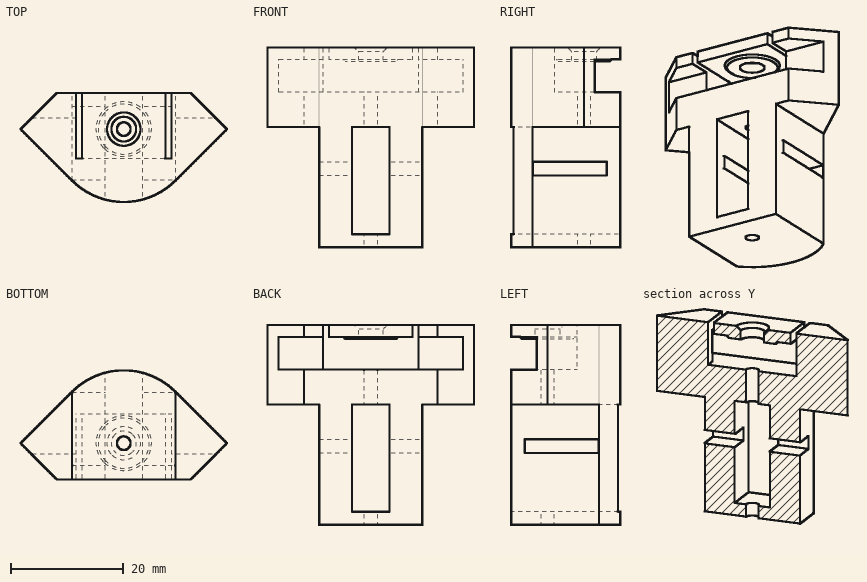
import cadquery as cq
import math

height = 35.6
half_span = 18.35
back_y = 6.45
front_radius = half_span / math.sqrt(2)
half_body = front_radius / math.sqrt(2)

wing_bottom = 21.4
window_width = 6.65
window_bottom = 2.4

side_slot_bottom = 12.82
side_slot_height = 2.42
side_slot_back = 4.0
side_slot_front = -9.05

notch_floor = 27.62
notch_ceiling = 33.45
notch_depth = 4.5

tongue_length = 11.68
slit_width = 1.05
slit_outer = 8.45

boss_diameter = 9.8
boss_drop = 0.4
access_hole_diameter = 4.4
countersink_diameter = 5.95
screw_hole_diameter = 2.4


def box(x_min, x_max, y_min, y_max, z_min, z_max):
    """Box given by its limits along each axis."""
    size = (x_max - x_min, y_max - y_min, z_max - z_min)
    return cq.Workplane("XY").box(*size, centered=False).translate((x_min, y_min, z_min))


def cylinder(radius, z_min, z_max):
    """Cylinder on the Z axis."""
    return cq.Workplane("XY", origin=(0, 0, z_min)).circle(radius).extrude(z_max - z_min)


def cone(bottom_radius, top_radius, z_min, z_max):
    """Truncated cone on the Z axis."""
    return cq.Workplane(cq.Solid.makeCone(bottom_radius, top_radius, z_max - z_min, cq.Vector(0, 0, z_min)))


def make_body():
    """Round-fronted column with a pointed wing on each side at the top."""
    column = (
        cq.Workplane("XY")
        .moveTo(-half_body, back_y)
        .lineTo(-half_body, -half_body)
        .threePointArc((0, -front_radius), (half_body, -half_body))
        .lineTo(half_body, back_y)
        .close()
        .extrude(height)
    )
    half_back = half_span - back_y
    head = (
        cq.Workplane("XY", origin=(0, 0, wing_bottom))
        .moveTo(-half_back, back_y)
        .lineTo(-half_span, 0)
        .lineTo(-half_body, -half_body)
        .threePointArc((0, -front_radius), (half_body, -half_body))
        .lineTo(half_span, 0)
        .lineTo(half_back, back_y)
        .close()
        .extrude(height - wing_bottom)
    )
    return column.union(head)


def cut_window_and_side_slot(body):
    """Tall window through the column along Y, narrow slot along X."""
    window = box(
        -window_width / 2, window_width / 2, -front_radius, back_y, window_bottom, wing_bottom
    )
    side_slot = box(
        -half_body, half_body, side_slot_front, side_slot_back,
        side_slot_bottom, side_slot_bottom + side_slot_height,
    )
    return body.cut(window).cut(side_slot)


def cut_tongue(body):
    """Notch along the back, pocket behind it and two slits that free a tongue in the top."""
    pocket_front = back_y - tongue_length
    notch = box(-half_span, half_span, back_y - notch_depth, back_y, notch_floor, notch_ceiling)
    pocket = box(-slit_outer, slit_outer, pocket_front, back_y, notch_floor, notch_ceiling)
    body = body.cut(notch).cut(pocket)
    for slit_left in (-slit_outer, slit_outer - slit_width):
        slit = box(
            slit_left, slit_left + slit_width, pocket_front, back_y, notch_ceiling, height
        )
        body = body.cut(slit)
    return body


def add_boss_and_holes(body):
    """Tapered boss under the tongue, countersunk access hole and screw hole below it."""
    boss_radius = boss_diameter / 2
    access_radius = access_hole_diameter / 2
    countersink_radius = countersink_diameter / 2
    countersink_depth = countersink_radius - access_radius
    boss_bottom = notch_ceiling - boss_drop

    boss = cone(boss_radius - boss_drop, boss_radius, boss_bottom, notch_ceiling)
    access_hole = cylinder(access_radius, boss_bottom, height)
    countersink = cone(access_radius, countersink_radius, height - countersink_depth, height)
    screw_hole = cylinder(screw_hole_diameter / 2, 0, notch_floor)
    return body.union(boss).cut(access_hole).cut(countersink).cut(screw_hole)


result = add_boss_and_holes(cut_tongue(cut_window_and_side_slot(make_body())))